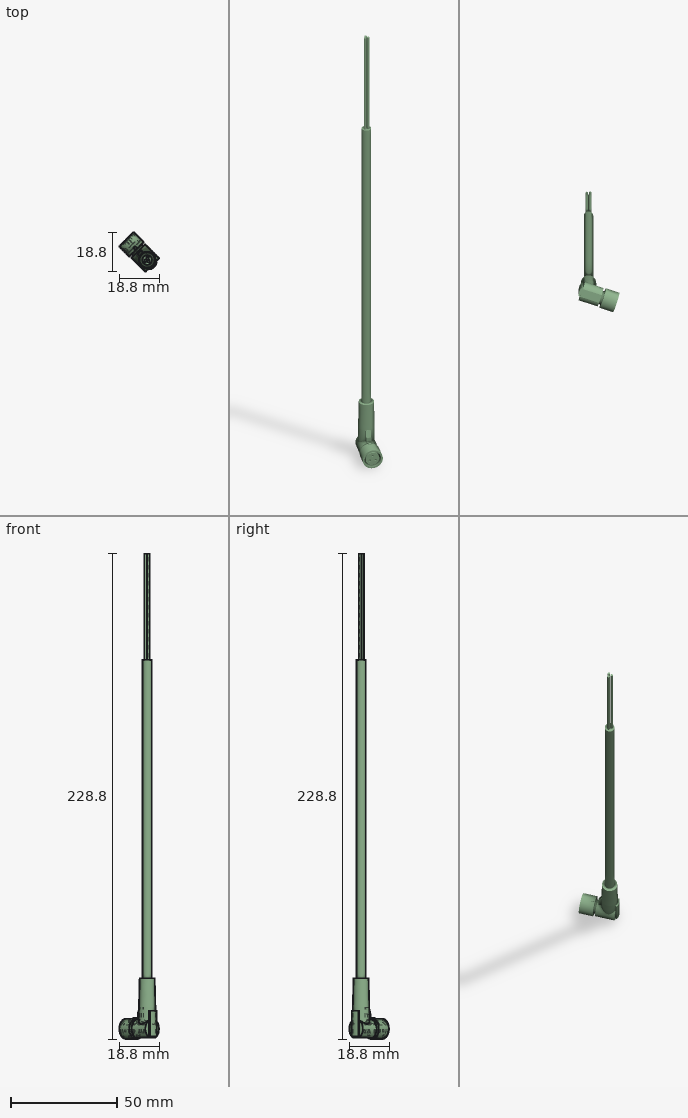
import cadquery as cq

plug_heading = 135.0

nut_diameter = 9.7
nut_length = 6.7
nut_face = 13.79
nut_bore_diameter = 8.0
nut_bore_depth = 5.0
insert_diameter = 6.6
insert_setback = 0.5
contact_hole_diameter = 1.1
contact_circle_diameter = 3.2
contact_hole_depth = 3.0
contact_count = 3
first_contact_angle = 90.0

neck_diameter = 6.6
housing_diameter = 9.1
housing_front = 5.9
housing_back = 3.35
housing_flat = 4.1

back_plate_width = 4.4
back_plate_radius = 4.65
back_plate_bottom = -3.5
back_plate_top = 8.5

sleeve_top_diameter = 7.2
sleeve_top = 23.91
collar_diameter = 7.9
collar_top = 10.3
gusset_reach = 5.2
gusset_width = 2.4
gusset_slope_height = 3.5

index_mark_start = 7.4
index_mark_end = 8.6
index_mark_width = 1.2
index_mark_top = 5.2

cable_diameter = 4.5
cable_length = 150.0
wire_diameter = 1.2
wire_circle_diameter = 1.8
wire_length = 50.0
first_wire_heading = 84.0
wire_count = 3

nut_back = nut_face - nut_length
cable_top = sleeve_top + cable_length


def rod_along_plug(diameter, start, end):
    """Round bar on the plug axis (modelled along +X) between two stations."""
    return cq.Workplane("YZ", origin=(start, 0, 0)).circle(diameter / 2).extrude(end - start)


def upright(diameter, z_min, z_max):
    """Round bar on the cable axis between two heights."""
    return cq.Workplane("XY", origin=(0, 0, z_min)).circle(diameter / 2).extrude(z_max - z_min)


def block(x_min, x_max, width, z_min, z_max):
    """Box centred on the plug's vertical mid-plane."""
    return cq.Workplane("XY").box(
        x_max - x_min, width, z_max - z_min, centered=(False, True, False)
    ).translate((x_min, 0, z_min))


def make_nut():
    nut = rod_along_plug(nut_diameter, nut_back, nut_face)
    nut = nut.cut(rod_along_plug(nut_bore_diameter, nut_face - nut_bore_depth, nut_face))
    insert = rod_along_plug(insert_diameter, nut_back, nut_face - insert_setback)
    contacts = (
        cq.Workplane("YZ", origin=(nut_face - insert_setback, 0, 0))
        .polarArray(contact_circle_diameter / 2, first_contact_angle, 360, contact_count)
        .circle(contact_hole_diameter / 2)
        .extrude(-contact_hole_depth)
    )
    index_mark = block(
        index_mark_start, index_mark_end, index_mark_width, nut_bore_diameter / 2, index_mark_top
    )
    return nut.union(insert).cut(contacts).union(index_mark)


def make_housing():
    housing = rod_along_plug(housing_diameter, -housing_back, housing_front)
    keep = block(-housing_back, housing_front, housing_diameter, -housing_flat, housing_diameter)
    neck = rod_along_plug(neck_diameter, 0, nut_back)
    plate = block(-back_plate_radius, 0, back_plate_width, back_plate_bottom, back_plate_top)
    plate = plate.intersect(upright(2 * back_plate_radius, back_plate_bottom, back_plate_top))
    return housing.intersect(keep).union(neck).union(plate)


def make_sleeve():
    collar = upright(collar_diameter, 0, collar_top)
    sleeve = (
        cq.Workplane("XY", origin=(0, 0, collar_top))
        .circle(collar_diameter / 2)
        .workplane(offset=sleeve_top - collar_top)
        .circle(sleeve_top_diameter / 2)
        .loft()
    )
    gusset = (
        cq.Workplane("XZ")
        .moveTo(0, 0)
        .lineTo(gusset_reach, 0)
        .lineTo(gusset_reach, collar_top - gusset_slope_height)
        .lineTo(collar_diameter / 2, collar_top)
        .lineTo(0, collar_top)
        .close()
        .extrude(gusset_width / 2, both=True)
    )
    return collar.union(sleeve).union(gusset)


def make_cable():
    cable = upright(cable_diameter, 0, cable_top)
    wires = (
        cq.Workplane("XY", origin=(0, 0, cable_top))
        .polarArray(wire_circle_diameter / 2, first_wire_heading - plug_heading, 360, wire_count)
        .circle(wire_diameter / 2)
        .extrude(wire_length)
    )
    return cable.union(wires)


result = (
    make_nut()
    .union(make_housing())
    .union(make_sleeve())
    .union(make_cable())
    .rotate((0, 0, 0), (0, 0, 1), plug_heading)
)